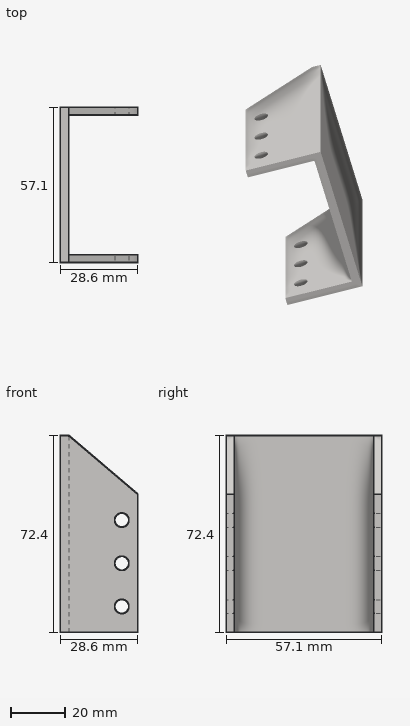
import cadquery as cq

depth = 28.575
width = 57.15
height = 72.39
plate_thickness = 3.175
flange_thickness = 2.921

flange_edge_height = 50.8

hole_diameter = 5.11
hole_count = 3
hole_pitch = 15.875
lowest_hole_height = 9.525
hole_edge_distance = 5.92


def make_side_profile_block():
    """Solid block with the flange outline, spanning the full width."""
    outline = [
        (0, 0),
        (depth, 0),
        (depth, flange_edge_height),
        (plate_thickness, height),
        (0, height),
    ]
    return (
        cq.Workplane("XZ", origin=(0, width / 2, 0))
        .polyline(outline)
        .close()
        .extrude(width)
    )


def make_channel():
    """Space between the flanges, open on the +X side, top and bottom."""
    return cq.Workplane("XY").box(
        depth - plate_thickness,
        width - 2 * flange_thickness,
        height,
        centered=(False, True, False),
    ).translate((plate_thickness, 0, 0))


def make_hole_pins():
    """Cylinders that drill the hole row through both flanges."""
    hole_x = depth - hole_edge_distance
    centres = [
        (hole_x, lowest_hole_height + i * hole_pitch)
        for i in range(hole_count)
    ]
    return (
        cq.Workplane("XZ", origin=(0, width / 2, 0))
        .pushPoints(centres)
        .circle(hole_diameter / 2)
        .extrude(width)
    )


result = make_side_profile_block().cut(make_channel()).cut(make_hole_pins())